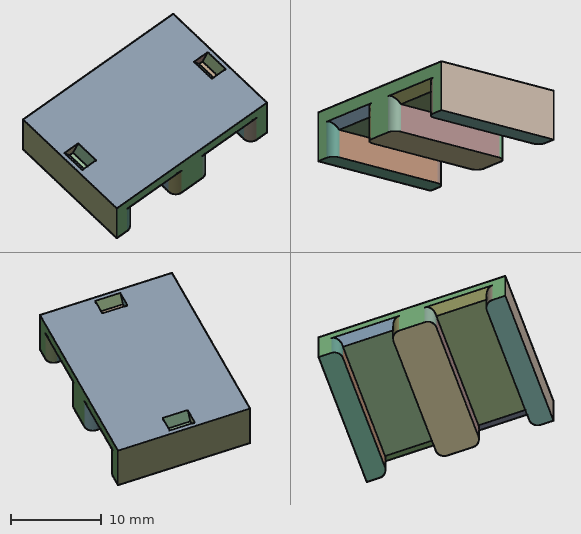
import cadquery as cq

length_x = 15.8
width_y = 21.8
height_z = 5.7

side_wall = 2.5
center_web = 5.0
roof = 2.5
channel_width = (width_y - 2 * side_wall - center_web) / 2
channel_height = height_z - roof
channel_offset = (center_web + channel_width) / 2

mouth_radius = 1.0
ceiling_rise = 1.0
ceiling_run = 1.0

pocket_length = 3.0
pocket_width = 2.0
pocket_floor_width = 0.5
pocket_depth = 1.1
pocket_edge_gap = 0.5
pocket_offset = width_y / 2 - pocket_edge_gap - pocket_width / 2


def flared_plan(center_y):
    """Plan outline of a channel, widened at both ends by convex quarter rounds."""
    end = length_x / 2
    straight_end = end - mouth_radius
    half = channel_width / 2
    low = center_y - half
    high = center_y + half
    wide_low = low - mouth_radius
    wide_high = high + mouth_radius
    radius = mouth_radius
    return (
        cq.Workplane("XY")
        .moveTo(-straight_end, low)
        .lineTo(straight_end, low)
        .radiusArc((end, wide_low), radius)
        .lineTo(end, wide_high)
        .radiusArc((straight_end, high), radius)
        .lineTo(-straight_end, high)
        .radiusArc((-end, wide_high), radius)
        .lineTo(-end, wide_low)
        .radiusArc((-straight_end, low), radius)
        .close()
    )


def ceiling_profile(center_y):
    """Channel side profile whose ceiling slopes up toward both ends, as a slab across Y."""
    end = length_x / 2
    flat_end = end - ceiling_run
    mouth_height = channel_height + ceiling_rise
    slab_half = channel_width / 2 + mouth_radius
    return (
        cq.Workplane("XZ", origin=(0, center_y, 0))
        .polyline([
            (-end, 0),
            (end, 0),
            (end, mouth_height),
            (flat_end, channel_height),
            (-flat_end, channel_height),
            (-end, mouth_height),
        ])
        .close()
        .extrude(slab_half, both=True)
    )


def channel(center_y):
    """Void of one channel, with its flared mouths."""
    return flared_plan(center_y).extrude(height_z).intersect(ceiling_profile(center_y))


def pocket(center_y):
    """Void of one pocket: a trapezoid in the YZ plane with upright ends in X."""
    half_top = pocket_width / 2
    half_floor = pocket_floor_width / 2
    floor_z = height_z - pocket_depth
    return (
        cq.Workplane("YZ")
        .polyline([
            (center_y - half_top, height_z),
            (center_y + half_top, height_z),
            (center_y + half_floor, floor_z),
            (center_y - half_floor, floor_z),
        ])
        .close()
        .extrude(pocket_length / 2, both=True)
    )


result = cq.Workplane("XY").box(length_x, width_y, height_z, centered=(True, True, False))
for side in (-1, 1):
    result = result.cut(channel(side * channel_offset))
    result = result.cut(pocket(side * pocket_offset))